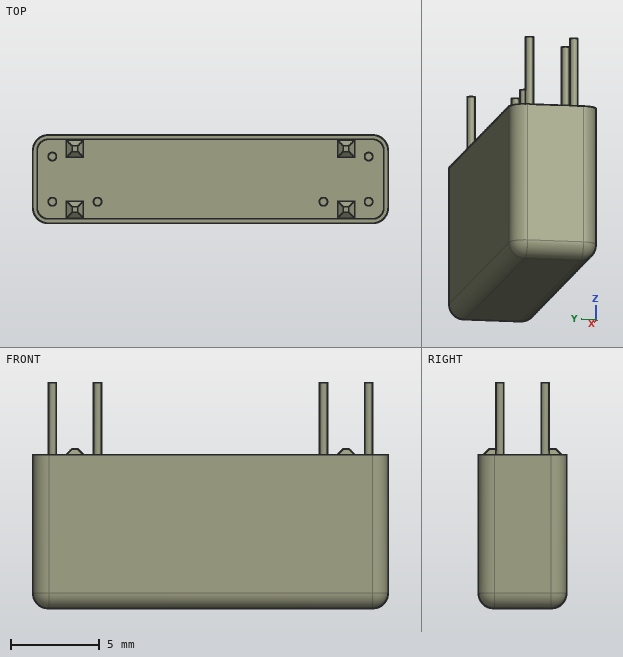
import cadquery as cq

case_length = 19.99
case_width = 4.98
total_height = 12.7
pin_length = 4.04
case_height = total_height - pin_length
corner_radius = 0.89
wall = 0.25

pitch = 2.54
pin_diameter = 0.46
outer_pin_x = 3.5 * pitch
inner_pin_x = outer_pin_x - pitch
pin_row_y = pitch / 2

foot_base = 0.96
foot_tip = 0.32
foot_height = (foot_base - foot_tip) / 2
foot_x = 3 * pitch
foot_y = 1.71


def rounded_block(inset):
    """Block inset from the case's sides and bottom, with a square-edged top at the case rim."""
    radius = corner_radius - inset
    return (
        cq.Workplane("XY")
        .workplane(offset=inset)
        .rect(case_length - 2 * inset, case_width - 2 * inset)
        .extrude(case_height - inset)
        .edges("|Z")
        .fillet(radius)
        .faces("<Z")
        .edges()
        .fillet(radius)
    )


def make_case():
    """Thin-walled cup with the same wall on the sides and bottom."""
    return rounded_block(0).cut(rounded_block(wall))


def make_pins():
    """Four pins in the front row and two at the ends of the back row."""
    front_row = [(x, -pin_row_y) for x in (-outer_pin_x, -inner_pin_x, inner_pin_x, outer_pin_x)]
    back_row = [(x, pin_row_y) for x in (-outer_pin_x, outer_pin_x)]
    return (
        cq.Workplane("XY")
        .workplane(offset=case_height)
        .pushPoints(front_row + back_row)
        .circle(pin_diameter / 2)
        .extrude(pin_length)
    )


def make_foot(x, y):
    """One truncated pyramid centred at x, y on the top face."""
    return (
        cq.Workplane("XY", origin=(x, y, case_height))
        .rect(foot_base, foot_base)
        .workplane(offset=foot_height)
        .rect(foot_tip, foot_tip)
        .loft(ruled=True)
    )


def make_core():
    """Filling of the case, flush with its rim, carrying the pins and feet."""
    core = rounded_block(wall).union(make_pins())
    for x in (-foot_x, foot_x):
        for y in (-foot_y, foot_y):
            core = core.union(make_foot(x, y))
    return core


case = make_case()
core = make_core()

result = cq.Compound.makeCompound([case.solids().val(), core.solids().val()])